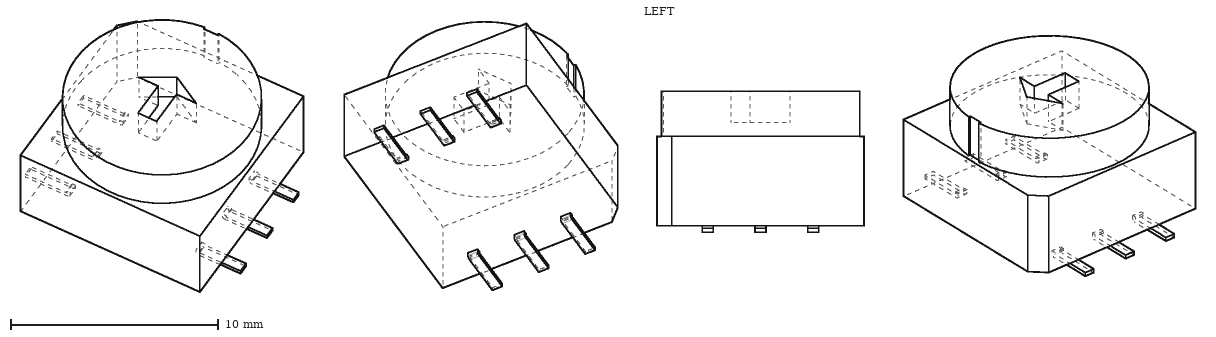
import cadquery as cq

overall_length = 12.0
overall_height = 6.8
body_side = 10.0
body_height = 4.31
corner_chamfer = 0.72

knob_height = 2.18
knob_radius = 4.8
notch_width = 0.78
notch_floor_radius = 4.68

arrow_tip_y = 1.44
arrow_shoulder_y = 0.52
arrow_tail_y = -1.42
arrow_head_half_width = 1.6
arrow_shaft_half_width = 0.52
arrow_depth = 1.5

lead_width = 0.54
lead_thickness = 0.2
lead_pitch = 2.55
leads_per_side = 3
lead_inner_x = 3.5
lead_bend_radius = 0.15

body_bottom = overall_height - knob_height - body_height
body_top = body_bottom + body_height


def make_body():
    block = cq.Workplane("XY").box(body_side, body_side, body_height, centered=(True, True, False))
    block = block.translate((0, 0, body_bottom))
    return block.edges("|Z and <X and >Y").chamfer(corner_chamfer)


def make_knob():
    knob = cq.Workplane("XY").workplane(offset=body_top).circle(knob_radius).extrude(knob_height)
    notch_length = knob_radius - notch_floor_radius
    notch = (
        cq.Workplane("XY")
        .box(notch_width, notch_length, knob_height, centered=(True, False, False))
        .translate((0, notch_floor_radius, body_top))
    )
    return knob.cut(notch)


def make_arrow_slot():
    return (
        cq.Workplane("XY")
        .workplane(offset=overall_height)
        .moveTo(0, arrow_tip_y)
        .lineTo(arrow_head_half_width, arrow_shoulder_y)
        .lineTo(arrow_shaft_half_width, arrow_shoulder_y)
        .lineTo(arrow_shaft_half_width, arrow_tail_y)
        .lineTo(-arrow_shaft_half_width, arrow_tail_y)
        .lineTo(-arrow_shaft_half_width, arrow_shoulder_y)
        .lineTo(-arrow_head_half_width, arrow_shoulder_y)
        .close()
        .extrude(-arrow_depth)
    )


def make_lead(y):
    """L-shaped lead on the -X side: a foot along X and a short riser into the body."""
    foot_length = overall_length / 2 - lead_inner_x
    foot = cq.Workplane("XY").box(foot_length, lead_width, lead_thickness, centered=(False, True, False))
    riser = (
        cq.Workplane("XY")
        .box(lead_thickness, lead_width, body_bottom, centered=(False, True, False))
        .translate((foot_length - lead_thickness, 0, 0))
    )
    lead = foot.union(riser, clean=True).edges("|Y and >X and <Z").fillet(lead_bend_radius)
    return lead.translate((-overall_length / 2, y, 0))


result = make_body().union(make_knob()).cut(make_arrow_slot())
for index in range(leads_per_side):
    lead_y = (index - (leads_per_side - 1) / 2) * lead_pitch
    left_lead = make_lead(lead_y)
    result = result.union(left_lead).union(left_lead.mirror("YZ"))